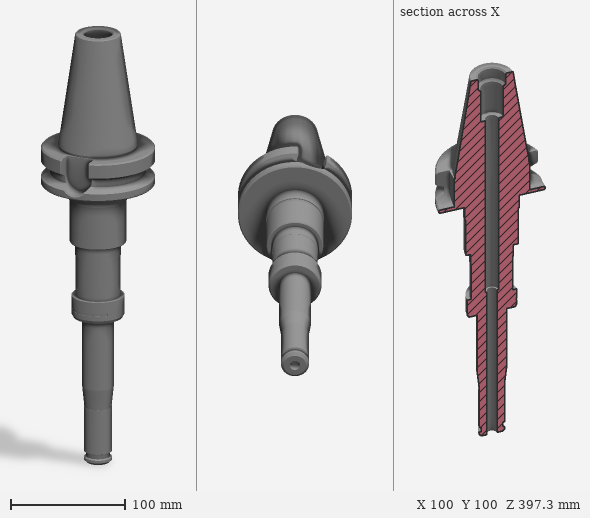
import cadquery as cq

total_length = 397.3

taper_ratio = 7 / 24
taper_length = 102.5
gauge_diameter = 70.0
taper_small_diameter = gauge_diameter - taper_length * taper_ratio
taper_end_chamfer = 0.8
taper_root_diameter = 69.0
gauge_z = total_length - taper_length

flange_diameter = 100.0
flange_gap = 2.0
flange_top_z = gauge_z - flange_gap
flange_thickness = 35.0
flange_bottom_z = flange_top_z - flange_thickness
flange_chamfer = 1.0
groove_diameter = 84.2
upper_rim_height = 13.0
groove_shoulder_height = 4.0
groove_floor_width = 6.8
groove_top_z = flange_top_z - upper_rim_height
groove_floor_top_z = groove_top_z - groove_shoulder_height
groove_floor_bottom_z = groove_floor_top_z - groove_floor_width
groove_bottom_z = groove_floor_bottom_z - groove_shoulder_height

slot_width = 26.0
slot_floor_y = 35.5
slot_bottom_z = 262.0
slot_edge_chamfer = 1.0
mouth_near_y = 47.5
mouth_far_y = 51.5

collar_diameter = 51.3
collar_bottom_z = 244.0
body_diameter = 49.5
body_bottom_z = 204.2
body_chamfer = 0.8
upper_neck_diameter = 40.0
neck_step_z = 192.3
lower_neck_diameter = 39.7

ring_diameter = 46.5
ring_top_z = 155.0
ring_bottom_z = 135.0
ring_chamfer_height = 2.8
ring_chamfer_width = 1.5

mark_width = 2.5
mark_depth = 0.5
mark_middle_z = 143.5
mark_angle = 94.0

shank_diameter = 28.0
shank_bottom_z = 70.5
relief_bottom_diameter = 24.0
relief_bottom_z = 51.3
pilot_diameter = 24.5
pilot_bottom_z = 10.5

tip_neck_diameter = 20.5
tip_neck_top_z = 9.5
tip_neck_bottom_z = 5.5
tip_rim_diameter = 24.5
tip_rim_top_z = 4.8
tip_rim_bottom_z = 2.5
tip_end_diameter = 19.5

mouth_diameter = 28.0
counterbore_diameter = 25.0
mouth_depth = (mouth_diameter - counterbore_diameter) / 2
counterbore_depth = 12.0
thread_diameter = 20.5
thread_seat_depth = counterbore_depth + (counterbore_diameter - thread_diameter) / 2
thread_depth = 47.5
pipe_diameter = 12.0
pipe_depth = 238.5
coolant_diameter = 9.0


def revolved(stations):
    """Solid of revolution about Z from (diameter, z) stations, closed along the axis."""
    outline = [(0, stations[0][1])]
    outline += [(diameter / 2, z) for diameter, z in stations]
    outline.append((0, stations[-1][1]))
    return cq.Workplane("XZ").polyline(outline).close().revolve(360, (0, 0), (0, 1))


def holder_body():
    return revolved([
        (taper_small_diameter - 2 * taper_end_chamfer, total_length),
        (taper_small_diameter, total_length - taper_end_chamfer),
        (gauge_diameter, gauge_z),
        (taper_root_diameter, flange_top_z),
        (flange_diameter - 2 * flange_chamfer, flange_top_z),
        (flange_diameter, flange_top_z - flange_chamfer),
        (flange_diameter, groove_top_z),
        (groove_diameter, groove_floor_top_z),
        (groove_diameter, groove_floor_bottom_z),
        (flange_diameter, groove_bottom_z),
        (flange_diameter, flange_bottom_z + flange_chamfer),
        (flange_diameter - 2 * flange_chamfer, flange_bottom_z),
        (collar_diameter, flange_bottom_z),
        (collar_diameter, collar_bottom_z),
        (body_diameter, collar_bottom_z),
        (body_diameter, body_bottom_z + body_chamfer),
        (body_diameter - 2 * body_chamfer, body_bottom_z),
        (upper_neck_diameter, body_bottom_z),
        (upper_neck_diameter, neck_step_z),
        (lower_neck_diameter, neck_step_z),
        (lower_neck_diameter, ring_top_z),
        (ring_diameter, ring_top_z),
        (ring_diameter, ring_bottom_z + ring_chamfer_height),
        (ring_diameter - 2 * ring_chamfer_width, ring_bottom_z),
        (shank_diameter, ring_bottom_z),
        (shank_diameter, shank_bottom_z),
        (relief_bottom_diameter, relief_bottom_z),
        (pilot_diameter, relief_bottom_z),
        (pilot_diameter, pilot_bottom_z),
        (tip_neck_diameter, tip_neck_top_z),
        (tip_neck_diameter, tip_neck_bottom_z),
        (tip_rim_diameter, tip_rim_top_z),
        (tip_rim_diameter, tip_rim_bottom_z),
        (tip_end_diameter, 0),
    ])


def bore():
    return revolved([
        (mouth_diameter, total_length),
        (counterbore_diameter, total_length - mouth_depth),
        (counterbore_diameter, total_length - counterbore_depth),
        (thread_diameter, total_length - thread_seat_depth),
        (thread_diameter, total_length - thread_depth),
        (pipe_diameter, total_length - thread_depth),
        (pipe_diameter, total_length - pipe_depth),
        (coolant_diameter, total_length - pipe_depth),
        (coolant_diameter, 0),
    ])


def drive_slot(side):
    """Round-bottomed slot open to the top and outside; side is -1 for -Y and +1 for +Y."""
    half_width = slot_width / 2
    round_z = slot_bottom_z + half_width
    slot = (
        cq.Workplane("XZ")
        .moveTo(-half_width, gauge_z)
        .lineTo(-half_width, round_z)
        .threePointArc((0, slot_bottom_z), (half_width, round_z))
        .lineTo(half_width, gauge_z)
        .close()
        .extrude(-side * flange_diameter / 2)
    )
    core = cq.Workplane("XY").box(flange_diameter, 2 * slot_floor_y, 2 * total_length)
    return slot.cut(core)


def ring_mark():
    """Shallow arc groove centred on the -Y side of the adjusting ring."""
    outer_radius = ring_diameter / 2
    groove = (
        cq.Workplane("XZ")
        .moveTo(outer_radius - mark_depth, mark_middle_z - mark_width / 2)
        .lineTo(outer_radius, mark_middle_z - mark_width / 2)
        .lineTo(outer_radius, mark_middle_z + mark_width / 2)
        .lineTo(outer_radius - mark_depth, mark_middle_z + mark_width / 2)
        .close()
        .revolve(mark_angle, (0, 0), (0, 1))
    )
    return groove.rotate((0, 0, 0), (0, 0, 1), -90 - mark_angle / 2)


result = holder_body().cut(bore()).cut(ring_mark())
for side in (-1, 1):
    result = result.cut(drive_slot(side))
    slot_mouth = cq.selectors.BoxSelector(
        (-slot_width, side * mouth_near_y, slot_bottom_z),
        (slot_width, side * mouth_far_y, flange_top_z),
    )
    result = result.edges(slot_mouth).chamfer(slot_edge_chamfer)